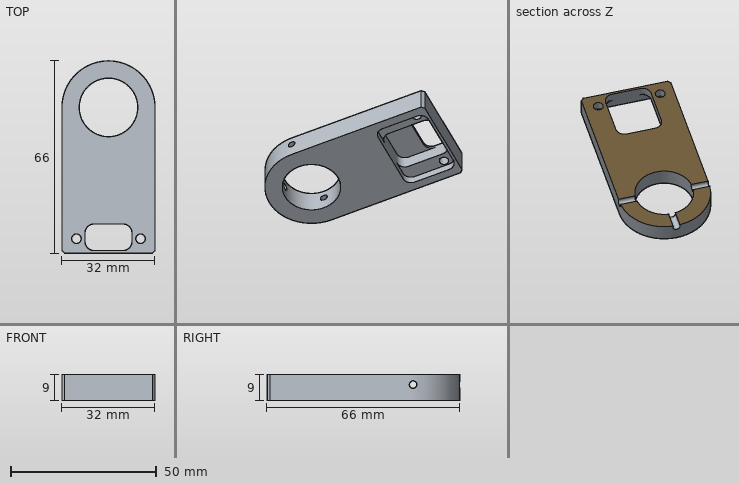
import cadquery as cq

thickness = 9.0
head_radius = 16.0
bore_diameter = 20.0
tail_length = 50.0
end_chamfer = 1.0

radial_hole_diameter = 2.5
radial_hole_height = 5.5

end_wall = 1.0
window_width = 16.0
window_length = 9.0
corner_radius = 3.0
roof_thickness = 1.0
pocket_length = 19.0

recess_width = 26.0
recess_depth = 3.0

screw_hole_diameter = 3.2
screw_hole_spacing = 22.0
screw_hole_end_distance = 5.0

flat_end_y = -tail_length
cavity_start_y = flat_end_y + end_wall


def make_body():
    """Plate with a round head and a chamfered flat end."""
    tail = (
        cq.Workplane("XY")
        .box(2 * head_radius, tail_length, thickness, centered=(True, False, False))
        .translate((0, flat_end_y, 0))
        .edges("|Z and <Y")
        .chamfer(end_chamfer)
    )
    head = cq.Workplane("XY").circle(head_radius).extrude(thickness)
    return tail.union(head)


def make_bore():
    return cq.Workplane("XY").circle(bore_diameter / 2).extrude(thickness)


def make_radial_holes():
    """One hole across the head in X and one from the bore out through +Y."""
    hole_radius = radial_hole_diameter / 2
    across = (
        cq.Workplane("YZ", origin=(-head_radius, 0, radial_hole_height))
        .circle(hole_radius)
        .extrude(2 * head_radius)
    )
    outward = (
        cq.Workplane("XZ", origin=(0, head_radius, radial_hole_height))
        .circle(hole_radius)
        .extrude(head_radius)
    )
    return across.union(outward)


def make_rounded_cavity(width, length, height):
    """Round-cornered block standing on the underside, starting at the end wall."""
    return (
        cq.Workplane("XY")
        .box(width, length, height, centered=(True, False, False))
        .translate((0, cavity_start_y, 0))
        .edges("|Z")
        .fillet(corner_radius)
    )


def make_screw_holes():
    hole_x = screw_hole_spacing / 2
    hole_y = flat_end_y + screw_hole_end_distance
    return (
        cq.Workplane("XY")
        .pushPoints([(-hole_x, hole_y), (hole_x, hole_y)])
        .circle(screw_hole_diameter / 2)
        .extrude(thickness)
    )


window = make_rounded_cavity(window_width, window_length, thickness)
pocket = make_rounded_cavity(window_width, pocket_length, thickness - roof_thickness)
recess = make_rounded_cavity(recess_width, pocket_length, recess_depth)

result = (
    make_body()
    .cut(make_bore())
    .cut(make_radial_holes())
    .cut(window)
    .cut(pocket)
    .cut(recess)
    .cut(make_screw_holes())
)